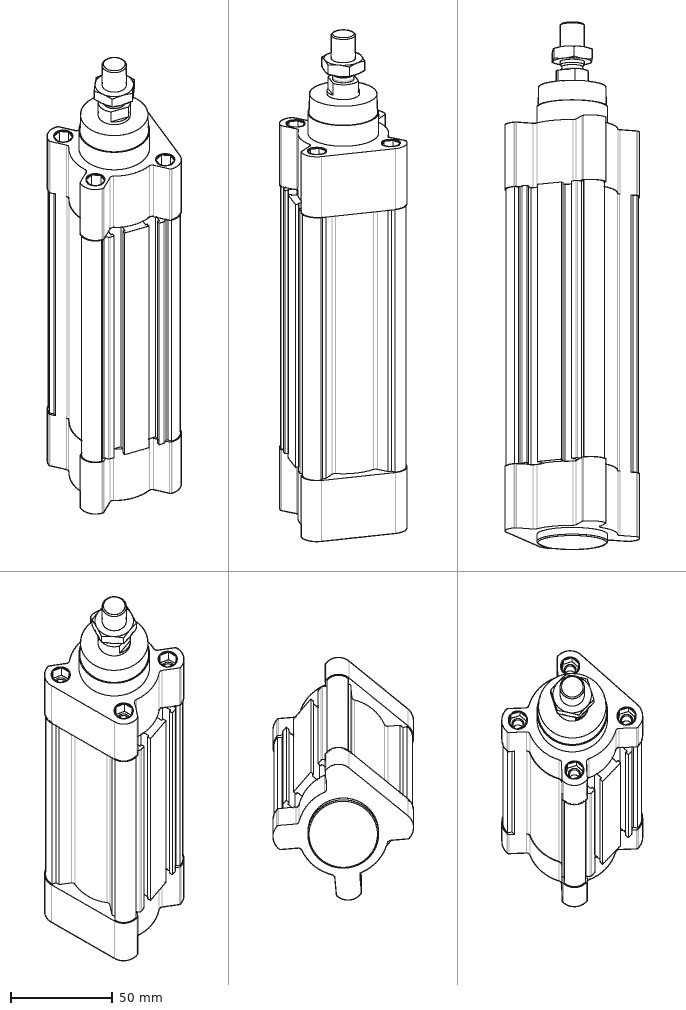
import cadquery as cq
import math


total_length = 261.9
housing_length = 205.0
cover_length = 32.5
rear_spigot_length = 4.0
rod_reach = total_length - rear_spigot_length - housing_length
front_face_z = housing_length
rod_end_z = front_face_z + rod_reach

cover_size = 54.0
tube_size = 53.0
screw_offset = 19.0
cover_barrel_radius = 22.5
tube_barrel_radius = 22.3
lug_side = 8.8
barrel_fillet = 1.7
lug_edge_fillet = 1.0

screw_mouth_diameter = 9.5
screw_head_diameter = 9.0
screw_head_depth = 0.5
socket_width = 8.0
socket_depth = 7.0
screw_thread_diameter = 6.0
screw_core_diameter = 4.92
screw_core_depth = 16.0
drill_tip_angle = 118.0

slot_offset = 9.4
slot_opening = 5.6
slot_inner_width = 7.6
slot_lip = 1.8
slot_depth = 6.5
lip_outer_y = 15.0
lip_edge_fillet = 1.0
groove_depth = 1.8
groove_floor_end = 17.75

collar_diameter = 35.0
collar_step_diameter = 34.0
collar_top_diameter = 33.4
collar_height = 21.0
collar_step_height = 11.0
spigot_chamfer = 0.6

rod_diameter = 16.0
thread_diameter = 12.0
thread_length = 24.0
neck_top_diameter = 10.2
neck_root_diameter = 10.65
neck_length = 3.4
neck_root_length = 0.8
rod_end_chamfer = 0.675
wrench_width = 13.0
wrench_length = 6.2
rod_depth = cover_length

nut_width = 19.0
nut_height = 6.0
nut_top_gap = 13.0
nut_bevel_angle = 20.0


def cylinder(diameter, z_low, z_high):
    return cq.Workplane("XY").workplane(offset=z_low).circle(diameter / 2).extrude(z_high - z_low)


def prism(points, z_low, z_high):
    return cq.Workplane("XY").workplane(offset=z_low).polyline(points).close().extrude(z_high - z_low)


def flip_y(points):
    return [(x, -y) for x, y in reversed(points)]


def on_four_corners(corner):
    """Copies a +X +Y corner solid to all four corners as one Workplane."""
    copies = corner
    for turn in (90, 180, 270):
        copies = copies.union(corner.rotate((0, 0, 0), (0, 0, 1), turn))
    return copies


def cover_lug(z_low, z_high):
    """Corner bar along the diagonal, ended by an arc round the screw axis and rounded into its sides."""
    reach = cover_size / 2
    tip = screw_offset + (reach - screw_offset) * math.cos(math.pi / 4)
    fillet_drop = lug_edge_fillet * (1 - math.cos(math.pi / 4))
    fillet_run = lug_edge_fillet * math.sin(math.pi / 4)
    fillet_end = (reach - fillet_drop - lug_side, reach - fillet_drop)
    fillet_start = (fillet_end[0] + fillet_run, reach)
    fillet_mid = (
        fillet_start[0] - lug_edge_fillet * math.sin(math.pi / 8),
        reach - lug_edge_fillet * (1 - math.cos(math.pi / 8)),
    )
    return (
        cq.Workplane("XY").workplane(offset=z_low)
        .moveTo(0, lug_side)
        .lineTo(*fillet_end)
        .threePointArc(fillet_mid, fillet_start)
        .lineTo(screw_offset, reach)
        .threePointArc((tip, tip), (reach, screw_offset))
        .lineTo(*fillet_start[::-1])
        .threePointArc(fillet_mid[::-1], fillet_end[::-1])
        .lineTo(lug_side, 0)
        .lineTo(0, 0)
        .close()
        .extrude(z_high - z_low)
    )


def fillet_barrel_corners(body, barrel_radius):
    """Rounds the inner corners where the lug sides meet the barrel."""
    corners = body.edges("|Z").filter(
        lambda edge: abs(math.hypot(edge.Center().x, edge.Center().y) - barrel_radius) < 0.01
    )
    return body.newObject(corners.vals()).fillet(barrel_fillet)


def make_cover(z_low):
    """Barrel with four lugs; the +Y side is closed flat between its lugs."""
    z_high = z_low + cover_length
    cover = cylinder(2 * cover_barrel_radius, z_low, z_high)
    cover = cover.union(on_four_corners(cover_lug(z_low, z_high)))
    cover = fillet_barrel_corners(cover, cover_barrel_radius)
    reach = cover_size / 2
    flat_side = prism(
        [(-screw_offset, 0), (screw_offset, 0), (screw_offset, reach), (-screw_offset, reach)],
        z_low, z_high,
    )
    return cover.union(flat_side)


def tube_lug(z_low, z_high):
    reach = tube_size / 2
    groove_floor = reach - groove_depth
    tip = screw_offset + (reach - screw_offset) * math.cos(math.pi / 4)
    return (
        cq.Workplane("XY").workplane(offset=z_low)
        .moveTo(0, lug_side)
        .lineTo(groove_floor - lug_side, groove_floor)
        .lineTo(groove_floor_end, groove_floor)
        .lineTo(screw_offset, reach)
        .threePointArc((tip, tip), (reach, screw_offset))
        .lineTo(groove_floor, groove_floor_end)
        .lineTo(groove_floor, groove_floor - lug_side)
        .lineTo(lug_side, 0)
        .lineTo(0, 0)
        .close()
        .extrude(z_high - z_low)
    )


def make_tube(z_low, z_high):
    """Barrel with four lugs and a flat slotted wall on the -X and +X sides."""
    reach = tube_size / 2
    tube = cylinder(2 * tube_barrel_radius, z_low, z_high)
    tube = tube.union(on_four_corners(tube_lug(z_low, z_high)))
    tube = fillet_barrel_corners(tube, tube_barrel_radius)

    wall_half = [(0, lip_outer_y + groove_depth), (reach - groove_depth, lip_outer_y + groove_depth),
                 (reach, lip_outer_y)]
    wall = prism(wall_half + flip_y(wall_half), z_low, z_high)
    wall = wall.edges(">X and |Z").fillet(lip_edge_fillet)

    slot_half = [
        (reach, slot_opening / 2),
        (reach - slot_lip, slot_opening / 2),
        (reach - slot_lip, slot_inner_width / 2),
        (reach - slot_depth, slot_inner_width / 2),
    ]
    slot = prism(slot_half + flip_y(slot_half), z_low, z_high)
    for turn in (0, 180):
        tube = tube.union(wall.rotate((0, 0, 0), (0, 0, 1), turn))
    for turn in (0, 180):
        for side in (-1, 1):
            tube = tube.cut(slot.translate((0, side * slot_offset, 0)).rotate((0, 0, 0), (0, 0, 1), turn))
    return tube


def make_front_collar():
    step_z = front_face_z + collar_step_height
    lower = cylinder(collar_diameter, front_face_z, step_z)
    upper_height = collar_height - collar_step_height
    upper = (
        cq.Workplane("XY").workplane(offset=step_z)
        .circle(collar_step_diameter / 2)
        .workplane(offset=upper_height)
        .circle(collar_top_diameter / 2)
        .loft(ruled=True)
    )
    return lower.union(upper)


def make_rear_spigot():
    return cylinder(collar_diameter, -rear_spigot_length, 0).faces("<Z").chamfer(spigot_chamfer)


def screw_hole():
    """Blind hole at the front face: bevelled mouth, hexagon socket, core hole with a drill point."""
    mouth_radius = screw_mouth_diameter / 2
    head_radius = screw_head_diameter / 2
    thread_radius = screw_thread_diameter / 2
    core_radius = screw_core_diameter / 2
    tip_depth = screw_core_depth + core_radius / math.tan(math.radians(drill_tip_angle / 2))
    round_hole = (
        cq.Workplane("XZ")
        .moveTo(0, 0)
        .lineTo(mouth_radius, 0)
        .lineTo(head_radius, head_radius - mouth_radius)
        .lineTo(head_radius, -screw_head_depth)
        .lineTo(thread_radius, -screw_head_depth)
        .lineTo(thread_radius, -socket_depth)
        .lineTo(core_radius, -socket_depth - (thread_radius - core_radius))
        .lineTo(core_radius, -screw_core_depth)
        .lineTo(0, -tip_depth)
        .close()
        .revolve(360, (0, 0, 0), (0, 1, 0))
    )
    socket = (
        cq.Workplane("XY").workplane(offset=-socket_depth)
        .polygon(6, socket_width / math.cos(math.pi / 6))
        .extrude(socket_depth)
    )
    return round_hole.union(socket).translate((0, 0, front_face_z))


def make_housing():
    housing = make_cover(0)
    housing = housing.union(make_tube(cover_length, housing_length - cover_length))
    housing = housing.union(make_cover(housing_length - cover_length))
    housing = housing.union(make_front_collar())
    housing = housing.union(make_rear_spigot())
    for x in (-screw_offset, screw_offset):
        for y in (-screw_offset, screw_offset):
            housing = housing.cut(screw_hole().translate((x, y, 0)))
    return housing.cut(cylinder(rod_diameter, front_face_z - rod_depth, front_face_z + collar_height))


def make_rod():
    """Rod with a wrench flat on each X side, a relieved neck and a threaded end drawn plain."""
    shoulder_z = rod_end_z - thread_length
    neck_top = shoulder_z + neck_length
    thread_radius = thread_diameter / 2
    neck_top_radius = neck_top_diameter / 2
    neck_root_radius = neck_root_diameter / 2
    rod_radius = rod_diameter / 2
    rod_base_z = front_face_z - rod_depth
    rod = (
        cq.Workplane("XZ")
        .moveTo(0, rod_base_z)
        .lineTo(rod_radius, rod_base_z)
        .lineTo(rod_radius, shoulder_z)
        .lineTo(neck_root_radius, shoulder_z)
        .lineTo(neck_root_radius, shoulder_z + neck_root_length)
        .lineTo(neck_top_radius, neck_top - (thread_radius - neck_top_radius))
        .lineTo(thread_radius, neck_top)
        .lineTo(thread_radius, rod_end_z - rod_end_chamfer)
        .lineTo(thread_radius - rod_end_chamfer, rod_end_z)
        .lineTo(0, rod_end_z)
        .close()
        .revolve(360, (0, 0, 0), (0, 1, 0))
    )
    flat_depth = (rod_diameter - wrench_width) / 2
    flat_cut = cq.Workplane("XY").box(flat_depth, rod_diameter, wrench_length)
    for side in (-1, 1):
        flat_x = side * (wrench_width + flat_depth) / 2
        rod = rod.cut(flat_cut.translate((flat_x, 0, shoulder_z - wrench_length / 2)))
    return rod


def make_nut():
    """Hexagon nut with its flats facing X and both ends bevelled, bored to the thread diameter."""
    top_z = rod_end_z - nut_top_gap
    bottom_z = top_z - nut_height
    corner_radius = nut_width / 2 / math.cos(math.pi / 6)
    bevel_width = corner_radius - nut_width / 2
    bevel_height = bevel_width * math.tan(math.radians(nut_bevel_angle))
    hexagon = (
        cq.Workplane("XY").workplane(offset=bottom_z)
        .polygon(6, 2 * corner_radius)
        .extrude(nut_height)
        .rotate((0, 0, 0), (0, 0, 1), 30)
    )
    envelope = (
        cylinder(2 * corner_radius, bottom_z, top_z)
        .edges()
        .chamfer(bevel_height, bevel_width)
    )
    return hexagon.intersect(envelope).cut(cylinder(thread_diameter, bottom_z, top_z))


housing = make_housing()
rod = make_rod()
nut = make_nut()

result = cq.Compound.makeCompound([housing.val(), rod.val(), nut.val()])